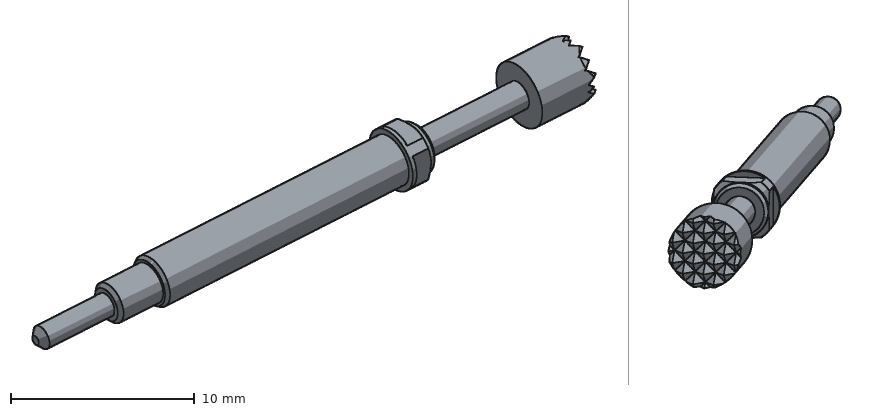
import cadquery as cq
import math

length = 38.0

head_dia = 4.0
stem_dia = 1.7
body_dia = 3.08
flange_dia = 3.75
rear_dia = 2.45
pin_dia = 1.4
pin_tip_dia = 0.57

pin_shoulder_y = 0.4
rear_start_y = 4.98
body_start_y = 7.98
flange_start_y = 25.0
nut_start_y = 25.27
nut_end_y = 26.55
body_end_y = 26.98
head_start_y = 34.0

rear_chamfer = 0.23
body_rear_chamfer_depth = 0.15
body_rear_chamfer_length = 0.23
body_front_chamfer = 0.2
nut_chamfer_angle = 30.0

tooth_spacing = 0.57
groove_pitch = tooth_spacing * math.sqrt(2)
groove_angle = 60.0
groove_turns = (45, -45)
groove_depth = groove_pitch / 2 / math.tan(math.radians(groove_angle / 2))


def turned(profile):
    """Revolve a closed half profile of (radius, Y) points about the Y axis."""
    return cq.Workplane("XY").polyline(profile).close().revolve(360, (0, 0, 0), (0, 1, 0))


def turned_probe():
    """Pin, rear sleeve, body, stem and head as one stepped round."""
    pin_radius = pin_dia / 2
    rear_radius = rear_dia / 2
    body_radius = body_dia / 2
    stem_radius = stem_dia / 2
    head_radius = head_dia / 2
    profile = [
        (0, 0),
        (pin_tip_dia / 2, 0),
        (pin_radius, pin_shoulder_y),
        (pin_radius, rear_start_y),
        (rear_radius - rear_chamfer, rear_start_y),
        (rear_radius, rear_start_y + rear_chamfer),
        (rear_radius, body_start_y),
        (body_radius - body_rear_chamfer_depth, body_start_y),
        (body_radius, body_start_y + body_rear_chamfer_length),
        (body_radius, body_end_y - body_front_chamfer),
        (body_radius - body_front_chamfer, body_end_y),
        (stem_radius, body_end_y),
        (stem_radius, head_start_y),
        (head_radius, head_start_y),
        (head_radius, length),
        (0, length),
    ]
    return turned(profile)


def flanged_nut():
    """Thin round flange and a round collar with four flats level with the body."""
    flange_radius = flange_dia / 2
    flat_radius = body_dia / 2
    chamfer_length = (flange_radius - flat_radius) * math.tan(math.radians(nut_chamfer_angle))
    profile = [
        (0, flange_start_y),
        (flange_radius, flange_start_y),
        (flange_radius, nut_end_y - chamfer_length),
        (flat_radius, nut_end_y),
        (0, nut_end_y),
    ]
    collar = turned(profile)

    nut_length = nut_end_y - nut_start_y
    nut_middle = (0, (nut_start_y + nut_end_y) / 2, 0)
    outside_flats = (
        cq.Workplane("XY")
        .box(2 * flange_dia, nut_length, 2 * flange_dia)
        .cut(cq.Workplane("XY").box(body_dia, nut_length, body_dia))
        .translate(nut_middle)
    )
    return collar.cut(outside_flats)


def head_grooves(turn):
    """Parallel V grooves across the head face, turned about Y; ridges run through the axis."""
    grooves = cq.Workplane("XY")
    groove_pairs = math.ceil(head_dia / 2 / groove_pitch)
    for index in range(-groove_pairs, groove_pairs):
        left_ridge = index * groove_pitch
        section = [
            (left_ridge, length),
            (left_ridge + groove_pitch / 2, length - groove_depth),
            (left_ridge + groove_pitch, length),
        ]
        groove = cq.Workplane("XY").polyline(section).close().extrude(head_dia, both=True)
        grooves = grooves.add(groove)
    return grooves.combine().rotate((0, 0, 0), (0, 1, 0), turn)


result = turned_probe().union(flanged_nut())
for turn in groove_turns:
    result = result.cut(head_grooves(turn))